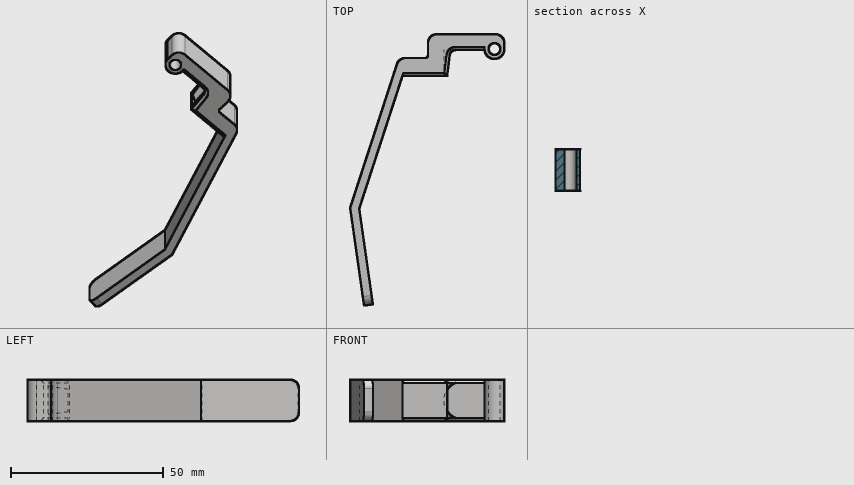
import cadquery as cq
import math

width = 13.7
overall_length_x = 50.73
overall_length_y = 89.21

knuckle_radius = 3.3
pin_hole_radius = 1.9

arm_back_y = 4.9
arm_front_y = -0.4
step_back_x = -21.9
block_back_y = -2.9
block_front_y = -8.95
block_corner_x = -15.5
block_side_angle = math.radians(7)

strap_thickness = 3.0
strap_angle = math.radians(18.05)
handle_angle = math.radians(8.1)
elbow_x = knuckle_radius - overall_length_x
elbow_y = -52.15
handle_drop = arm_back_y - overall_length_y - elbow_y

bend_radius = 3.0
step_root_radius = 0.7
edge_chamfer = 1.1
inner_corner_radius = bend_radius - edge_chamfer
tip_radius = 3.0

clearance_x = -10.45
clearance_radius = 6.2
clearance_depth = 8.0

arm_end_x = knuckle_radius
inner_corner_x = block_corner_x + (arm_front_y - block_front_y) * math.tan(block_side_angle)
strap_top_x = elbow_x + (block_back_y - elbow_y) * math.tan(strap_angle)

half_bend = (strap_angle + handle_angle) / 2
elbow_tilt = (handle_angle - strap_angle) / 2
elbow_span = strap_thickness / math.cos(half_bend)
inner_elbow_x = elbow_x + elbow_span * math.cos(elbow_tilt)
inner_elbow_y = elbow_y + elbow_span * math.sin(elbow_tilt)
strap_root_x = inner_elbow_x + (block_front_y - inner_elbow_y) * math.tan(strap_angle)

tip_outer_x = elbow_x - handle_drop * math.tan(handle_angle)
tip_outer_y = elbow_y + handle_drop
tip_inner_x = tip_outer_x + strap_thickness * math.cos(handle_angle)
tip_inner_y = tip_outer_y + strap_thickness * math.sin(handle_angle)


def box_around(x, y, z, half_size=0.05):
    """Selector for the edges whose centre lies at the given point."""
    low = (x - half_size, y - half_size, z - half_size)
    high = (x + half_size, y + half_size, z + half_size)
    return cq.selectors.BoxSelector(low, high)


def round_upright_edge(body, x, y, radius):
    return body.edges(box_around(x, y, width / 2)).fillet(radius)


def make_profile():
    outline = [
        (arm_end_x, arm_back_y),
        (step_back_x, arm_back_y),
        (step_back_x, block_back_y),
        (strap_top_x, block_back_y),
        (elbow_x, elbow_y),
        (tip_outer_x, tip_outer_y),
        (tip_inner_x, tip_inner_y),
        (inner_elbow_x, inner_elbow_y),
        (strap_root_x, block_front_y),
        (block_corner_x, block_front_y),
        (inner_corner_x, arm_front_y),
        (arm_end_x, arm_front_y),
    ]
    return cq.Workplane("XY").polyline(outline).close().extrude(width)


def round_bends(body):
    body = round_upright_edge(body, arm_end_x, arm_back_y, bend_radius)
    body = round_upright_edge(body, step_back_x, arm_back_y, bend_radius)
    body = round_upright_edge(body, strap_top_x, block_back_y, bend_radius)
    body = round_upright_edge(body, step_back_x, block_back_y, step_root_radius)
    return round_upright_edge(body, inner_corner_x, arm_front_y, inner_corner_radius)


def chamfer_front_edges(body):
    """Chamfer the top and bottom rims of the block front, the block side and the arm front."""
    rim_zone = cq.selectors.BoxSelector(
        (strap_root_x, block_front_y - edge_chamfer, -edge_chamfer),
        (arm_end_x - edge_chamfer, arm_front_y + edge_chamfer, width + edge_chamfer),
    )
    step_back_zone = cq.selectors.BoxSelector(
        (strap_top_x, block_back_y - edge_chamfer, -edge_chamfer),
        (step_back_x + edge_chamfer, arm_front_y + edge_chamfer, width + edge_chamfer),
    )
    front_rims = body.faces("<Z or >Z").edges(rim_zone - step_back_zone)
    return front_rims.chamfer(edge_chamfer)


def cut_clearance(body):
    cutter = (
        cq.Workplane("XZ", origin=(clearance_x, arm_front_y, width / 2))
        .circle(clearance_radius)
        .extrude(clearance_depth)
    )
    return body.cut(cutter)


def add_knuckle(body):
    knuckle = cq.Workplane("XY").circle(knuckle_radius).extrude(width)
    pin_hole = cq.Workplane("XY").circle(pin_hole_radius).extrude(width)
    return body.union(knuckle).cut(pin_hole)


def round_tip(body):
    middle_x = (tip_outer_x + tip_inner_x) / 2
    middle_y = (tip_outer_y + tip_inner_y) / 2
    for z in (0, width):
        body = body.edges(box_around(middle_x, middle_y, z)).fillet(tip_radius)
    return body


lever = round_bends(make_profile())
lever = chamfer_front_edges(lever)
lever = cut_clearance(lever)
lever = add_knuckle(lever)
result = round_tip(lever)